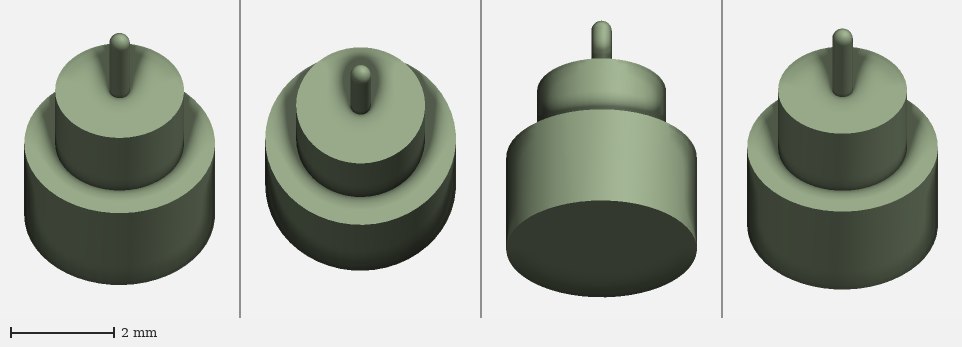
import cadquery as cq

overall_height = 5.1
base_diameter = 3.7
base_height = 2.05
collar_diameter = 2.5
collar_height = 1.5
pin_diameter = 0.4

pin_radius = pin_diameter / 2
pin_length = overall_height - base_height - collar_height
pin_straight_length = pin_length - pin_radius

body = (
    cq.Workplane("XY")
    .circle(base_diameter / 2)
    .extrude(base_height)
    .faces(">Z")
    .workplane()
    .circle(collar_diameter / 2)
    .extrude(collar_height)
)

pin_bottom = base_height + collar_height
pin = cq.Workplane("XY", origin=(0, 0, pin_bottom)).circle(pin_radius).extrude(pin_straight_length)
tip = cq.Workplane("XY", origin=(0, 0, pin_bottom + pin_straight_length)).sphere(pin_radius)

result = body.union(pin).union(tip)